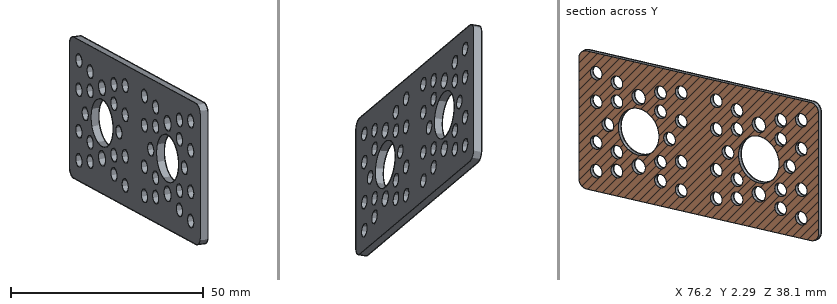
import cadquery as cq
import math

HUB_PITCH = 38.1
PLATE_LENGTH = 2 * HUB_PITCH
PLATE_HEIGHT = HUB_PITCH
PLATE_THICKNESS = 2.286
CORNER_RADIUS = 2.54

BORE_DIAMETER = 12.7
DOWEL_DIAMETER = 4.064
SCREW_DIAMETER = 3.556

DOWEL_OFFSET = HUB_PITCH / 4
HUB_CIRCLE_RADIUS = 9.779
OUTER_CIRCLE_RADIUS = HUB_PITCH / 2
HUB_DIAGONAL = HUB_CIRCLE_RADIUS * math.sqrt(0.5)
CORNER_DIAGONAL = OUTER_CIRCLE_RADIUS * math.sqrt(0.5)
UPPER_SCREW_Z = 12.13
SIDE_SCREW_Z = 5.59

HUB_CENTRES_X = (-HUB_PITCH / 2, HUB_PITCH / 2)


def mirrored(x, z):
    """Place a point in all four quadrants around the hub centre."""
    return [(sx * x, sz * z) for sx in (-1, 1) for sz in (-1, 1)]


def make_plate():
    """Flat rectangular plate with rounded corners."""
    plate = cq.Workplane("XY").box(PLATE_LENGTH, PLATE_THICKNESS, PLATE_HEIGHT)
    return plate.edges("|Y").fillet(CORNER_RADIUS)


def cut_holes(body, points, diameter):
    """Cut round holes through the plate at (x, z) points, drilling towards -Y."""
    drills = (
        cq.Workplane("XZ", origin=(0, PLATE_THICKNESS, 0))
        .pushPoints(points)
        .circle(diameter / 2)
        .extrude(2 * PLATE_THICKNESS)
    )
    return body.cut(drills)


def cut_hub_pattern(body, centre_x):
    """Cut one bore with its surrounding dowel and screw holes."""
    bore = [(0, 0)]
    dowels = [(0, -DOWEL_OFFSET), (0, DOWEL_OFFSET)]
    screws = [(-HUB_CIRCLE_RADIUS, 0), (HUB_CIRCLE_RADIUS, 0)]
    screws += mirrored(HUB_DIAGONAL, HUB_DIAGONAL)
    screws += mirrored(HUB_DIAGONAL, UPPER_SCREW_Z)
    screws += mirrored(CORNER_DIAGONAL, CORNER_DIAGONAL)
    screws += mirrored(CORNER_DIAGONAL, SIDE_SCREW_Z)

    hole_groups = (
        (bore, BORE_DIAMETER),
        (dowels, DOWEL_DIAMETER),
        (screws, SCREW_DIAMETER),
    )
    for points, diameter in hole_groups:
        placed = [(centre_x + x, z) for x, z in points]
        body = cut_holes(body, placed, diameter)
    return body


result = make_plate()
for hub_x in HUB_CENTRES_X:
    result = cut_hub_pattern(result, hub_x)